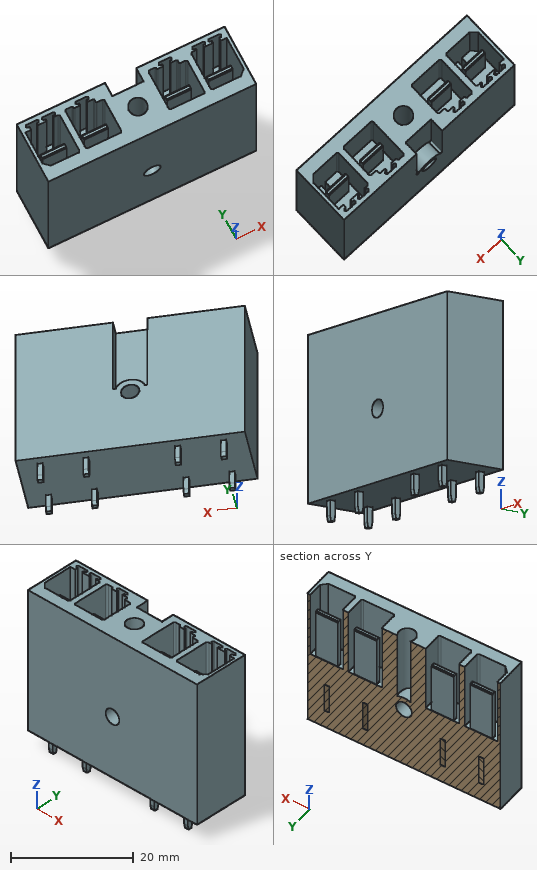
import cadquery as cq
import math

LENGTH = 38.1
WIDTH = 11.4
TOTAL_HEIGHT = 31.8
PIN_LENGTH = 3.45
HEIGHT = TOTAL_HEIGHT - PIN_LENGTH
BACK = WIDTH / 2

PITCH = 7.62
INNER_CONTACTS = (-PITCH, PITCH)
OUTER_CONTACTS = (-2 * PITCH, 2 * PITCH)

POCKET_DEPTH = 13.35
POCKET_FLOOR = HEIGHT - POCKET_DEPTH
POCKET_FRONT = BACK - 9.03
LEDGE = BACK - 1.7
CORNER_RADIUS = 0.3
STEP_RADIUS = 0.15

OUTER_HALF = 3.2
OUTER_LOW_SHOULDER = BACK - 1.95
OUTER_HIGH_SHOULDER = BACK - 1.6
OUTER_CHAMFER = 1.0

INNER_HALF = 3.28
INNER_HIGH_SHOULDER = BACK - 1.3
INNER_LOW_SHOULDER = BACK - 2.48
INNER_HIGH_END = -1.85
INNER_LEDGE_END = 1.85

KEYWAY_TOP = BACK - 0.8
KEYWAY_HEAD_DEPTH = 0.55
KEYWAY_RADIUS = 0.23
KEYWAY_HEAD_WIDTH = 2.32
KEYWAY_NECK_WIDTH = 1.35
KEYWAY_SPREAD = 1.5

CROSS_HOLE_DIAMETER = 3.05
CROSS_HOLE_Z = 12.3
TOP_HOLE_DIAMETER = 3.2
TOP_HOLE_Y = -0.5
NOTCH_WIDTH = 5.7
NOTCH_DEPTH = 2.63
SLEEVE_DIAMETER = 5.35
NOTCH_GROOVE_WIDTH = 0.5

SHEET = 0.88
BLADE_WIDTH = 4.42
BLADE_TOP = HEIGHT - 3.3
BLADE_CHAMFER = 0.2
BRIDGE_BOTTOM = 3.8
BRIDGE_TOP = 9.52
PIN_SPACING = 7.6
PIN_WIDTH = 1.05
PIN_TIP_WIDTH = 0.7
PIN_TIP_LENGTH = 0.95

SLOT_FILLET = 0.55


def box(x_range, y_range, z_range):
    """Box between the given limits."""
    (x0, x1), (y0, y1), (z0, z1) = x_range, y_range, z_range
    return cq.Workplane("XY").box(x1 - x0, y1 - y0, z1 - z0, centered=False).translate((x0, y0, z0))


def pocket_prism(points):
    """Closed outline extruded from the pocket floor to the top face."""
    return cq.Workplane("XY").workplane(offset=POCKET_FLOOR).polyline(points).close().extrude(POCKET_DEPTH)


def keyway(x):
    """T-shaped keyway whose neck reaches into the pocket."""
    head_bottom = KEYWAY_TOP - KEYWAY_HEAD_DEPTH
    z_range = (POCKET_FLOOR, HEIGHT)
    half_head = KEYWAY_HEAD_WIDTH / 2
    half_neck = KEYWAY_NECK_WIDTH / 2
    head = box((x - half_head, x + half_head), (head_bottom, KEYWAY_TOP), z_range)
    head = head.edges("|Z").fillet(KEYWAY_RADIUS)
    neck = box((x - half_neck, x + half_neck), (OUTER_LOW_SHOULDER, KEYWAY_TOP), z_range)
    return head.union(neck)


def inner_pocket():
    """Stepped pocket with one keyway."""
    pocket = pocket_prism([
        (-INNER_HALF, POCKET_FRONT),
        (INNER_HALF, POCKET_FRONT),
        (INNER_HALF, INNER_LOW_SHOULDER),
        (INNER_LEDGE_END, INNER_LOW_SHOULDER),
        (INNER_LEDGE_END, LEDGE),
        (INNER_HIGH_END, LEDGE),
        (INNER_HIGH_END, INNER_HIGH_SHOULDER),
        (-INNER_HALF, INNER_HIGH_SHOULDER),
    ])
    pocket = pocket.edges("|Z and (<X or >X)").fillet(CORNER_RADIUS)
    margin = STEP_RADIUS
    step_box = cq.selectors.BoxSelector(
        (INNER_HIGH_END - margin, INNER_LOW_SHOULDER - margin, POCKET_FLOOR),
        (INNER_LEDGE_END + margin, INNER_HIGH_SHOULDER + margin, HEIGHT),
    )
    pocket = pocket.edges("|Z").edges(step_box).fillet(STEP_RADIUS)
    return pocket.union(keyway(0))


def floor_slot():
    """Slot above the front half of the bridge, flared towards +X where it meets the blade."""
    half = SHEET / 2
    blade_front = -SHEET / 2
    flare_start = blade_front - SLOT_FILLET
    return (
        cq.Workplane("XY").workplane(offset=BRIDGE_TOP)
        .moveTo(-half, blade_front)
        .lineTo(-half, POCKET_FRONT)
        .lineTo(half, POCKET_FRONT)
        .lineTo(half, flare_start)
        .radiusArc((half + SLOT_FILLET, blade_front), SLOT_FILLET)
        .close()
        .extrude(POCKET_FLOOR - BRIDGE_TOP)
    )


def left_outer_pocket():
    """Pocket with two keyways and a chamfered outer front corner, for the -X end."""
    pocket = pocket_prism([
        (-OUTER_HALF, POCKET_FRONT + OUTER_CHAMFER),
        (-OUTER_HALF + OUTER_CHAMFER, POCKET_FRONT),
        (OUTER_HALF, POCKET_FRONT),
        (OUTER_HALF, OUTER_HIGH_SHOULDER),
        (KEYWAY_SPREAD, OUTER_HIGH_SHOULDER),
        (KEYWAY_SPREAD, LEDGE),
        (-KEYWAY_SPREAD, LEDGE),
        (-KEYWAY_SPREAD, OUTER_LOW_SHOULDER),
        (-OUTER_HALF, OUTER_LOW_SHOULDER),
    ])
    pocket = pocket.edges("|Z and >X").fillet(CORNER_RADIUS)
    return pocket.union(keyway(-KEYWAY_SPREAD)).union(keyway(KEYWAY_SPREAD))


def make_contact(x):
    """Blade, bridge and two tapered pins, cut from one thickness of sheet."""
    half = SHEET / 2
    blade = box((-BLADE_WIDTH / 2, BLADE_WIDTH / 2), (-half, half), (BRIDGE_BOTTOM, BLADE_TOP))
    blade = blade.edges(">Z and |X").chamfer(BLADE_CHAMFER)
    bridge_half = (PIN_SPACING + PIN_WIDTH) / 2
    contact = blade.union(box((-half, half), (-bridge_half, bridge_half), (BRIDGE_BOTTOM, BRIDGE_TOP)))
    for pin_y in (-PIN_SPACING / 2, PIN_SPACING / 2):
        pin = (
            cq.Workplane("YZ").workplane(offset=-half)
            .polyline([
                (pin_y - PIN_WIDTH / 2, BRIDGE_BOTTOM),
                (pin_y - PIN_WIDTH / 2, PIN_TIP_LENGTH - PIN_LENGTH),
                (pin_y - PIN_TIP_WIDTH / 2, -PIN_LENGTH),
                (pin_y + PIN_TIP_WIDTH / 2, -PIN_LENGTH),
                (pin_y + PIN_WIDTH / 2, PIN_TIP_LENGTH - PIN_LENGTH),
                (pin_y + PIN_WIDTH / 2, BRIDGE_BOTTOM),
            ])
            .close()
            .extrude(SHEET)
        )
        contact = contact.union(pin)
    return contact.translate((x, 0, 0))


def cylinder_along_y(diameter, y0, y1, x=0, z=CROSS_HOLE_Z):
    """Cylinder between two Y positions, by default on the cross-hole axis."""
    return (
        cq.Workplane("XZ", origin=(x, y1, z))
        .circle(diameter / 2)
        .extrude(y1 - y0)
    )


def make_housing(contacts):
    """Block with pockets, screw holes, back notch and a matching seat for each contact."""
    housing = box((-LENGTH / 2, LENGTH / 2), (-BACK, BACK), (0, HEIGHT))

    for x in INNER_CONTACTS:
        housing = housing.cut(inner_pocket().translate((x, 0, 0)))

    left_pocket = left_outer_pocket()
    left_x, right_x = OUTER_CONTACTS
    housing = housing.cut(left_pocket.translate((left_x, 0, 0)))
    housing = housing.cut(left_pocket.mirror("YZ").translate((right_x, 0, 0)))
    for x in OUTER_CONTACTS:
        housing = housing.cut(floor_slot().translate((x, 0, 0)))

    sleeve = cylinder_along_y(SLEEVE_DIAMETER, -BACK, BACK)
    half_notch = NOTCH_WIDTH / 2
    notch_front = BACK - NOTCH_DEPTH
    groove_inner_x = half_notch - NOTCH_GROOVE_WIDTH
    groove_x = half_notch - NOTCH_GROOVE_WIDTH / 2
    groove_z = CROSS_HOLE_Z + math.sqrt((SLEEVE_DIAMETER / 2) ** 2 - groove_inner_x ** 2)
    notch = box((-half_notch, half_notch), (notch_front, BACK), (groove_z, HEIGHT)).cut(sleeve)

    for x in (-groove_x, groove_x):
        groove = cylinder_along_y(NOTCH_GROOVE_WIDTH, notch_front, BACK, x, groove_z)
        notch = notch.union(groove)

    top_hole = (
        cq.Workplane("XY", origin=(0, TOP_HOLE_Y, CROSS_HOLE_Z))
        .circle(TOP_HOLE_DIAMETER / 2)
        .extrude(HEIGHT - CROSS_HOLE_Z)
    )
    housing = housing.cut(notch).cut(top_hole.cut(sleeve))
    housing = housing.cut(cylinder_along_y(CROSS_HOLE_DIAMETER, -BACK, BACK))

    for contact in contacts:
        housing = housing.cut(contact)
    return housing


contacts = [make_contact(x) for x in (*INNER_CONTACTS, *OUTER_CONTACTS)]
housing = make_housing(contacts)

result = cq.Compound.makeCompound([housing.val(), *[contact.val() for contact in contacts]])